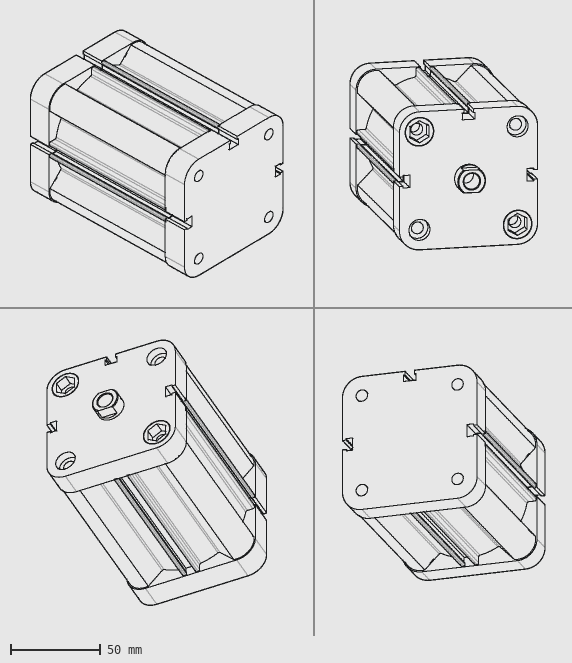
import cadquery as cq
import math

TOTAL_LENGTH = 128.0
ROD_PROTRUSION = 8.0
BODY_LENGTH = TOTAL_LENGTH - ROD_PROTRUSION

CAP_SIDE = 79.5
CAP_CORNER_RADIUS = 11.5
FRONT_CAP_THICKNESS = 14.5
REAR_CAP_THICKNESS = 15.0

CAP_SLOT_NECK_WIDTH = 5.5
CAP_SLOT_NECK_DEPTH = 2.2
CAP_SLOT_WIDTH = 7.2
CAP_SLOT_DEPTH = 6.0

BARREL_INSET = 0.8
BARREL_LENGTH = BODY_LENGTH - FRONT_CAP_THICKNESS - REAR_CAP_THICKNESS
TUBE_RADIUS = 34.4
LUG_RADIUS = CAP_CORNER_RADIUS - BARREL_INSET
LUG_WIDTH = 17.5
FOOT_FILLET = 1.0

RAIL_WIDTH = 10.8
RAIL_HALF_SPAN = 39.3
RAIL_EDGE_FILLET = 1.0
BARREL_SLOT_NECK_DEPTH = 1.9
BARREL_SLOT_LIP_FILLET = 0.6
BARREL_SLOT_WIDTH = 6.4
BARREL_SLOT_FLOOR = CAP_SIDE / 2 - 5.6

HOLE_OFFSET = CAP_SIDE / 2 - CAP_CORNER_RADIUS
THROUGH_HOLE_DIAMETER = 6.8
COUNTERBORE_DIAMETER = 12.0
COUNTERBORE_DEPTH = 5.0
SCREW_POCKET_DIAMETER = 16.5
SCREW_LENGTH = FRONT_CAP_THICKNESS

SCREW_DIAMETER = 16.0
SOCKET_ACROSS_FLATS = 11.0
SOCKET_DEPTH = 6.5

ROD_DIAMETER = 16.0
ROD_LENGTH = ROD_PROTRUSION + FRONT_CAP_THICKNESS
ROD_CHAMFER = 0.5
ROD_ACROSS_FLATS = 13.0
ROD_FLAT_LENGTH = 6.0
ROD_FLAT_RUNOUT = 0.4
ROD_BORE_DIAMETER = 9.1
ROD_BORE_ENTRY_DIAMETER = 10.0
ROD_BORE_DEPTH = 15.4
DRILL_POINT_ANGLE = 118.0

CORNER_ANGLES = [45, 135, 225, 315]
SIDE_ANGLES = [0, 90, 180, 270]
CAP_SLOT_ANGLES = [0, 90, 180]
SCREW_POSITIONS = [(HOLE_OFFSET, HOLE_OFFSET), (-HOLE_OFFSET, -HOLE_OFFSET)]
MOUNTING_POSITIONS = [(HOLE_OFFSET, -HOLE_OFFSET), (-HOLE_OFFSET, HOLE_OFFSET)]


def cross_section(x):
    """Workplane across the axis at x, with local axes Y and Z and extrusion towards +X."""
    return cq.Workplane("YZ", origin=(x, 0, 0))


def about_axis(shape, angle):
    return shape.rotate((0, 0, 0), (1, 0, 0), angle)


def radial_bar(x, length, width, inner, outer):
    """Bar of the given width that reaches from `inner` to `outer` along +Y."""
    return cross_section(x).center((inner + outer) / 2, 0).rect(outer - inner, width).extrude(length)


def t_slot(x, length, neck_width, neck_floor, width, floor):
    """Cutter for a T-slot that is open towards +Y."""
    neck = radial_bar(x, length, neck_width, floor, CAP_SIDE)
    return neck.union(radial_bar(x, length, width, floor, neck_floor))


def make_cap(x, thickness):
    cap = cross_section(x).rect(CAP_SIDE, CAP_SIDE).extrude(thickness)
    cap = cap.edges("|X").fillet(CAP_CORNER_RADIUS)
    slot = t_slot(
        x,
        thickness,
        CAP_SLOT_NECK_WIDTH,
        CAP_SIDE / 2 - CAP_SLOT_NECK_DEPTH,
        CAP_SLOT_WIDTH,
        CAP_SIDE / 2 - CAP_SLOT_DEPTH,
    )
    for angle in CAP_SLOT_ANGLES:
        cap = cap.cut(about_axis(slot, angle))
    return cap


def make_barrel():
    start = FRONT_CAP_THICKNESS
    barrel = cross_section(start).circle(TUBE_RADIUS).extrude(BARREL_LENGTH)

    lug_distance = HOLE_OFFSET * math.sqrt(2)
    round_end = cross_section(start).center(lug_distance, 0).circle(LUG_RADIUS).extrude(BARREL_LENGTH)
    lug = radial_bar(start, BARREL_LENGTH, LUG_WIDTH, lug_distance, CAP_SIDE).intersect(round_end)
    lug = lug.union(radial_bar(start, BARREL_LENGTH, LUG_WIDTH, 0, lug_distance))
    for angle in CORNER_ANGLES:
        barrel = barrel.union(about_axis(lug, angle))

    rail = radial_bar(start, BARREL_LENGTH, RAIL_WIDTH, 0, RAIL_HALF_SPAN)
    rail = rail.edges("|X and >Y").fillet(RAIL_EDGE_FILLET)
    for angle in SIDE_ANGLES:
        barrel = barrel.union(about_axis(rail, angle))

    def is_foot(edge):
        centre = edge.Center()
        return abs(math.hypot(centre.y, centre.z) - TUBE_RADIUS) < 0.01

    barrel = barrel.edges("|X").filter(is_foot).fillet(FOOT_FILLET)

    slot = t_slot(
        start,
        BARREL_LENGTH,
        CAP_SLOT_NECK_WIDTH,
        RAIL_HALF_SPAN - BARREL_SLOT_NECK_DEPTH,
        BARREL_SLOT_WIDTH,
        BARREL_SLOT_FLOOR,
    )
    for angle in SIDE_ANGLES:
        barrel = barrel.cut(about_axis(slot, angle))

    lip = CAP_SLOT_NECK_WIDTH / 2
    lip_positions = [(RAIL_HALF_SPAN, lip), (lip, RAIL_HALF_SPAN)]

    def is_lip_edge(edge):
        centre = edge.Center()
        y, z = abs(centre.y), abs(centre.z)
        return any(math.hypot(y - edge_y, z - edge_z) < 0.01 for edge_y, edge_z in lip_positions)

    return barrel.edges("|X").filter(is_lip_edge).fillet(BARREL_SLOT_LIP_FILLET)


def make_housing():
    housing = make_barrel()
    housing = housing.union(make_cap(0, FRONT_CAP_THICKNESS))
    housing = housing.union(make_cap(BODY_LENGTH - REAR_CAP_THICKNESS, REAR_CAP_THICKNESS))

    front = cross_section(0)
    through_holes = front.pushPoints(SCREW_POSITIONS + MOUNTING_POSITIONS)
    housing = housing.cut(through_holes.circle(THROUGH_HOLE_DIAMETER / 2).extrude(BODY_LENGTH))
    counterbores = front.pushPoints(MOUNTING_POSITIONS).circle(COUNTERBORE_DIAMETER / 2)
    housing = housing.cut(counterbores.extrude(COUNTERBORE_DEPTH))
    screw_pockets = front.pushPoints(SCREW_POSITIONS).circle(SCREW_POCKET_DIAMETER / 2)
    housing = housing.cut(screw_pockets.extrude(SCREW_LENGTH))
    rod_hole = front.circle(ROD_DIAMETER / 2).extrude(FRONT_CAP_THICKNESS)
    return housing.cut(rod_hole)


def make_screw(y, z):
    """Hollow screw, flush with the front face, with a hexagon socket pointing up and down."""
    corner_diameter = SOCKET_ACROSS_FLATS / math.cos(math.pi / 6)
    front = cross_section(0)
    screw = front.circle(SCREW_DIAMETER / 2).extrude(SCREW_LENGTH)
    screw = screw.cut(front.circle(THROUGH_HOLE_DIAMETER / 2).extrude(SCREW_LENGTH))
    socket = front.polygon(6, corner_diameter).extrude(SOCKET_DEPTH)
    screw = screw.cut(about_axis(socket, 90))
    return screw.translate((0, y, z))


def make_rod():
    tip = -ROD_PROTRUSION
    rod = cross_section(tip).circle(ROD_DIAMETER / 2).extrude(ROD_LENGTH)
    rod = rod.faces("<X").chamfer(ROD_CHAMFER)

    flat_height = ROD_ACROSS_FLATS / 2
    flat_end = tip + ROD_FLAT_LENGTH
    flat_cut = (
        cq.Workplane("XZ")
        .moveTo(tip, flat_height)
        .lineTo(flat_end, flat_height)
        .lineTo(flat_end + ROD_FLAT_RUNOUT, ROD_DIAMETER / 2)
        .lineTo(tip, ROD_DIAMETER / 2)
        .close()
        .extrude(ROD_DIAMETER / 2, both=True)
    )
    for angle in (0, 180):
        rod = rod.cut(about_axis(flat_cut, angle))

    bore_radius = ROD_BORE_DIAMETER / 2
    entry_radius = ROD_BORE_ENTRY_DIAMETER / 2
    point_length = bore_radius / math.tan(math.radians(DRILL_POINT_ANGLE / 2))
    bore_profile = (
        cq.Workplane("XY")
        .moveTo(tip, 0)
        .lineTo(tip, entry_radius)
        .lineTo(tip + entry_radius - bore_radius, bore_radius)
        .lineTo(tip + ROD_BORE_DEPTH, bore_radius)
        .lineTo(tip + ROD_BORE_DEPTH + point_length, 0)
        .close()
    )
    return rod.cut(bore_profile.revolve(360, (0, 0, 0), (1, 0, 0)))


housing = make_housing()
screws = [make_screw(y, z) for y, z in SCREW_POSITIONS]
rod = make_rod()

result = cq.Compound.makeCompound([housing.val(), *[screw.val() for screw in screws], rod.val()])